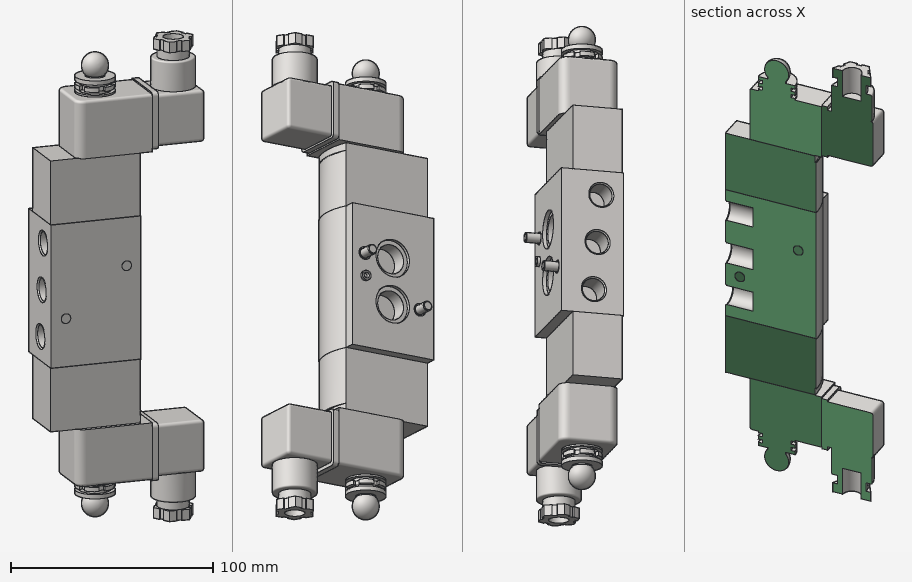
import cadquery as cq
import math


body_left = -18.6
body_right = 13.4
body_front = -28.1
body_rear = 19.2
body_half_height = 36.85

cap_half_width = 12.75
cap_top = 69.7

crown_rear = 21.9
low_crown_rear = 21.2
crown_end_gap = 3.9

front_port_diameter = 11.45
front_port_mouth = 12.9
front_port_depth = 15.0
front_port_pitch = 24.5
front_port_shift = 1.9
side_port_y = -4.2
side_port_offset = 12.0
side_port_diameter = 15.0
side_port_depth = 10.5
seal_seat_diameter = 19.4
seal_seat_depth = 2.0

fixing_offset_y = 16.0
fixing_offset_z = 12.0
screw_diameter = 5.0
screw_tip_diameter = 4.13
screw_mouth_diameter = 6.5
screw_mouth_depth = 0.5
screw_tip_x = -25.85
pin_diameter = 5.0
pin_bore_diameter = 3.0
pin_bore_depth = 2.0
pin_protrusion = 1.5
pin_insertion = 5.0

coil_half_width = 15.0
coil_front = -14.8
coil_rear = 24.75
coil_height = 29.5
coil_corner_radius = 4.7
coil_top_radius = 1.5

nut_diameter = 20.2
nut_core_diameter = 16.0
nut_levels = [(0.0, 0.9), (2.4, 4.6), (6.1, 8.3)]
nut_notch_width = 3.0
nut_notch_count = 6
ball_diameter = 13.5
ball_centre_height = 13.45
neck_diameter = 10.0

flange_thickness = 3.2
flange_bottom = 70.55
flange_top = 100.0
flange_corner_radius = 2.0
plug_half_width = 13.3
plug_rear = 53.0
plug_bottom = 71.6
plug_top = 98.1
plug_edge_radius = 1.7
gland_y = 41.2
gland_diameter = 22.3
gland_top = 113.3
gland_edge_radius = 0.8
collar_diameter = 16.0
knob_bottom = 117.9
knob_top = 123.35
knob_radius = 10.45
knob_sides = 6
knob_slot_width = 2.7
knob_slot_depth = 1.0
cable_bore_diameter = 10.0
cable_bore_depth = 15.0

coil_top = cap_top + coil_height
screw_places = [
    (side_port_y + fixing_offset_y, fixing_offset_z),
    (side_port_y - fixing_offset_y, -fixing_offset_z),
]
pin_place = (side_port_y + fixing_offset_y, 0.0)


def box(x_range, y_range, z_range):
    """Box between the given low and high limits."""
    limits = (x_range, y_range, z_range)
    sizes = [high - low for low, high in limits]
    corner = tuple(low for low, high in limits)
    return cq.Workplane("XY").box(*sizes, centered=False).translate(corner)


def rod_x(place, diameter, x_start, x_end):
    """Round rod along X at a (Y, Z) place."""
    plane = cq.Workplane("YZ", origin=(x_start, 0, 0))
    return plane.center(*place).circle(diameter / 2).extrude(x_end - x_start)


def rod_z(y, diameter, z_start, z_end):
    """Round rod along Z on the solenoid centre plane."""
    plane = cq.Workplane("XY", origin=(0, y, z_start))
    return plane.circle(diameter / 2).extrude(z_end - z_start)


def arched_block(rear, z_start, z_end):
    """Block as wide as a cap, its rear face a shallow arch that peaks at the given Y."""
    return (
        cq.Workplane("XY", origin=(0, 0, z_start))
        .moveTo(-cap_half_width, body_rear)
        .lineTo(-cap_half_width, body_front)
        .lineTo(cap_half_width, body_front)
        .lineTo(cap_half_width, body_rear)
        .threePointArc((0, rear), (-cap_half_width, body_rear))
        .close()
        .extrude(z_end - z_start)
    )


def both_ends(upper):
    """The upper part together with its mirror image at the lower end."""
    return [upper.val(), upper.mirror("XY").val()]


def front_port(row):
    """Threaded port in the front face, with a countersunk mouth."""
    plane = cq.Workplane("XZ", origin=(row * front_port_shift, body_front, row * front_port_pitch))
    bore = plane.circle(front_port_diameter / 2).extrude(-front_port_depth)
    mouth_depth = (front_port_mouth - front_port_diameter) / 2
    mouth = plane.circle(front_port_mouth / 2).extrude(-mouth_depth, taper=45)
    return bore.union(mouth)


def side_port(z):
    """Port in the mounting face, with a seal seat around it."""
    place = (side_port_y, z)
    bore = rod_x(place, side_port_diameter, body_left, body_left + side_port_depth)
    seat = rod_x(place, seal_seat_diameter, body_left, body_left + seal_seat_depth)
    return bore.union(seat)


def make_valve_body():
    body = box(
        (body_left, body_right),
        (body_front, body_rear),
        (-body_half_height, body_half_height),
    )
    body = body.union(arched_block(crown_rear, -body_half_height, body_half_height))
    for row in (-1, 0, 1):
        body = body.cut(front_port(row))
    for z in (-side_port_offset, side_port_offset):
        body = body.cut(side_port(z))
    for place in screw_places:
        body = body.cut(rod_x(place, screw_diameter, body_left, body_right))
        body = body.cut(rod_x(place, screw_mouth_diameter, body_left, body_left + screw_mouth_depth))
    return body.cut(rod_x(pin_place, pin_diameter, body_left, body_left + pin_insertion))


def make_screw(place):
    """Mounting screw through the valve body with a bevelled tip."""
    bevel = (screw_diameter - screw_tip_diameter) / 2
    return rod_x(place, screw_diameter, screw_tip_x, body_right).faces("<X").chamfer(bevel)


def make_coding_pin():
    """Short hollow pin between the screws on the mounting face."""
    outer_end = body_left - pin_protrusion
    pin = rod_x(pin_place, pin_diameter, outer_end, body_left + pin_insertion)
    return pin.cut(rod_x(pin_place, pin_bore_diameter, outer_end, outer_end + pin_bore_depth))


def make_end_cap():
    crown_end = cap_top - crown_end_gap
    cap = arched_block(low_crown_rear, body_half_height, cap_top)
    return cap.union(arched_block(crown_rear, body_half_height, crown_end))


def make_coil_nut():
    """Ringed coil nut, its middle ring notched, topped by a ball on a short neck."""
    nut = rod_z(0, nut_core_diameter, coil_top, coil_top + nut_levels[-1][1])
    for low, high in nut_levels:
        nut = nut.union(rod_z(0, nut_diameter, coil_top + low, coil_top + high))
    notch_low, notch_high = nut_levels[1]
    notch = box(
        (nut_core_diameter / 2, nut_diameter),
        (-nut_notch_width / 2, nut_notch_width / 2),
        (coil_top + notch_low, coil_top + notch_high),
    )
    for index in range(nut_notch_count):
        nut = nut.cut(notch.rotate((0, 0, 0), (0, 0, 1), index * 360 / nut_notch_count))
    ball_z = coil_top + ball_centre_height
    ball = cq.Workplane("XY").sphere(ball_diameter / 2).translate((0, 0, ball_z))
    return nut.union(rod_z(0, neck_diameter, coil_top, ball_z)).union(ball)


def make_solenoid():
    coil = box((-coil_half_width, coil_half_width), (coil_front, coil_rear), (cap_top, coil_top))
    coil = coil.edges("|Z and <Y").fillet(coil_corner_radius)
    coil = coil.faces(">Z").edges("not >Y").fillet(coil_top_radius)
    return coil.union(make_coil_nut())


def make_gland_knob():
    """Hexagonal knob, one corner facing the front, with a grip slot down the middle of each flat."""
    flat_distance = knob_radius * math.cos(math.pi / knob_sides)
    plane = cq.Workplane("XY", origin=(0, gland_y, knob_bottom))
    knob_height = knob_top - knob_bottom
    knob = plane.transformed(rotate=(0, 0, 90)).polygon(knob_sides, 2 * knob_radius).extrude(knob_height)
    slots = (
        plane.polarArray(flat_distance, 0, 360, knob_sides)
        .rect(2 * knob_slot_depth, knob_slot_width)
        .extrude(knob_height)
    )
    return knob.cut(slots)


def make_connector():
    flange_rear = coil_rear + flange_thickness
    flange = box(
        (-coil_half_width, coil_half_width),
        (coil_rear, flange_rear),
        (flange_bottom, flange_top),
    )
    flange = flange.edges("|Y").fillet(flange_corner_radius)
    plug = box((-plug_half_width, plug_half_width), (flange_rear, plug_rear), (plug_bottom, plug_top))
    plug = plug.edges("|Y or >Y").fillet(plug_edge_radius)
    gland = rod_z(gland_y, gland_diameter, plug_top, gland_top).faces(">Z").edges().fillet(gland_edge_radius)
    collar = rod_z(gland_y, collar_diameter, plug_top, knob_bottom)
    connector = flange.union(plug).union(gland).union(collar).union(make_gland_knob())
    cable_bore = rod_z(gland_y, cable_bore_diameter, knob_top - cable_bore_depth, knob_top)
    return connector.cut(cable_bore)


valve_body = make_valve_body()
screws = [make_screw(place).val() for place in screw_places]
coding_pin = make_coding_pin()
end_caps = both_ends(make_end_cap())
solenoids = both_ends(make_solenoid())
connectors = both_ends(make_connector())

result = cq.Compound.makeCompound(
    [valve_body.val(), *screws, coding_pin.val(), *end_caps, *solenoids, *connectors]
)